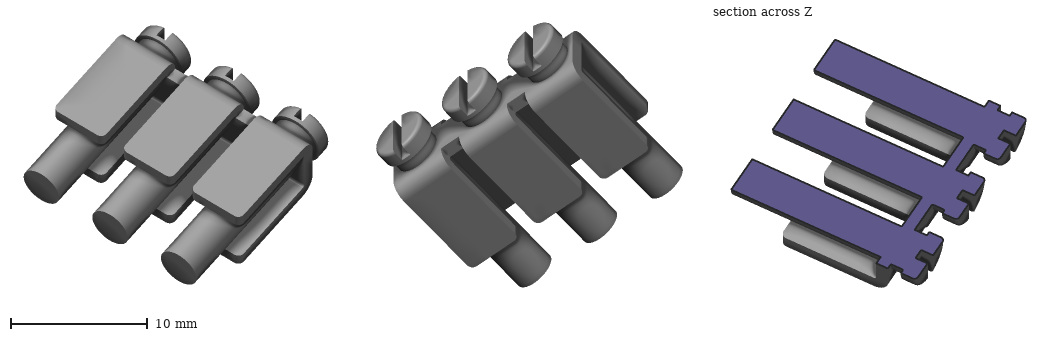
import cadquery as cq


clamp_count = 3
clamp_pitch = 6.2
clamp_width = 4.5
clamp_height = 5.8
clamp_length = 9.0
sheet_thickness = 1.0
bend_outer_radius = 1.2
bend_inner_radius = bend_outer_radius - sheet_thickness
leg_corner_radius = 0.5
link_height = 3.1

shank_diameter = 3.2
shank_projection = 4.5
collar_diameter = 3.6
collar_length = 1.0
head_diameter = 4.3
head_length = 1.3
head_edge_radius = 0.3
slot_width = 0.8
slot_depth = 1.0

row_span = clamp_pitch * (clamp_count - 1)
head_top = collar_length + head_length
clamp_positions = [index * clamp_pitch - row_span / 2 for index in range(clamp_count)]


def centred_box(size_x, size_z, y_start, y_end):
    """Box centred on X and Z, spanning y_start to y_end."""
    box = cq.Workplane("XY").box(size_x, y_end - y_start, size_z)
    return box.translate((0, (y_start + y_end) / 2, 0))


def rod(diameter, y_start, y_end):
    """Cylinder on the Y axis, spanning y_start to y_end."""
    plane = cq.Workplane("XZ", origin=(0, y_end, 0))
    return plane.circle(diameter / 2).extrude(y_end - y_start)


def make_clamp():
    """U-shaped clamp with its base at +Y and two legs reaching towards -Y."""
    outer = centred_box(clamp_width, clamp_height, -clamp_length, 0)
    outer = outer.edges("|X and >Y").fillet(bend_outer_radius)
    outer = outer.edges("|Z and <Y").fillet(leg_corner_radius)
    gap_height = clamp_height - 2 * sheet_thickness
    gap = centred_box(clamp_width, gap_height, -clamp_length, -sheet_thickness)
    gap = gap.edges("|X and >Y").fillet(bend_inner_radius)
    return outer.cut(gap)


def make_screw():
    """Screw with plain shank, collar and slotted cheese head."""
    shank = rod(shank_diameter, -clamp_length - shank_projection, 0)
    collar = rod(collar_diameter, 0, collar_length)
    head = rod(head_diameter, collar_length, head_top)
    head = head.faces(">Y").edges().fillet(head_edge_radius)
    slot = centred_box(slot_width, head_diameter, head_top - slot_depth, head_top)
    return shank.union(collar).union(head.cut(slot))


result = centred_box(row_span + clamp_width, link_height, -sheet_thickness, 0)
unit = make_clamp().union(make_screw())
for x_position in clamp_positions:
    result = result.union(unit.translate((x_position, 0, 0)))